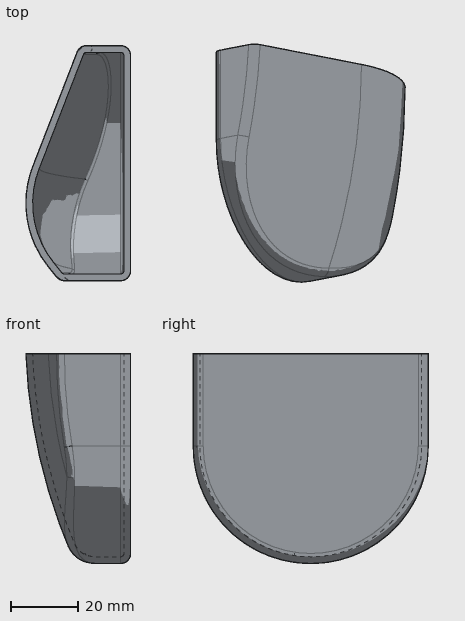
import cadquery as cq
import math

width = 70.0
height = 62.45
wall = 2.0
edge_radius = 3.0
depth = 31.2
bulge_radius = 30.1
bulge_end_y = -30.8
bulge_y = -11.9
flank_angle = math.radians(21.2)
sweep_drop = 18.2
sweep_mid_drop = 4.2
sweep_lead = 0.11
lean_angle = 2.9
margin = 7.0

base_radius = width / 2
rim_z = height - base_radius
blank_top_z = rim_z + margin


def make_block():
    """Full-depth U-shaped block with a round base."""
    return (
        cq.Workplane("YZ")
        .moveTo(-base_radius, blank_top_z)
        .lineTo(-base_radius, 0)
        .threePointArc((0, -base_radius), (base_radius, 0))
        .lineTo(base_radius, blank_top_z)
        .close()
        .extrude(-depth - margin)
    )


def make_front_tool():
    """Sweep the rim outline down a curved path without turning it."""
    centre_x = bulge_radius - depth

    def on_bulge(angle):
        return (
            centre_x - bulge_radius * math.cos(angle),
            bulge_y + bulge_radius * math.sin(angle),
        )

    tangent_point = on_bulge(flank_angle)
    bulge_end_angle = math.asin((bulge_end_y - bulge_y) / bulge_radius)
    flank_end_y = base_radius + 2 * margin
    flank_end_x = tangent_point[0] + (flank_end_y - tangent_point[1]) * math.tan(flank_angle)
    bulge_end = on_bulge(bulge_end_angle)
    toe_y = -base_radius - margin
    toe_x = bulge_end[0] + (toe_y - bulge_end[1]) * math.tan(bulge_end_angle)
    path = (
        cq.Workplane("XZ")
        .moveTo(-sweep_lead, blank_top_z)
        .threePointArc((sweep_mid_drop, rim_z - height / 2), (sweep_drop, -base_radius - margin))
    ).val()
    path = path.rotate(cq.Vector(0, 0, rim_z), cq.Vector(0.7, 0, rim_z), -lean_angle)
    return (
        cq.Workplane("XY", origin=path.startPoint().toTuple())
        .moveTo(flank_end_x, flank_end_y)
        .lineTo(*tangent_point)
        .threePointArc(on_bulge((flank_angle + bulge_end_angle) / 2), bulge_end)
        .lineTo(toe_x, toe_y)
        .lineTo(2 * margin, toe_y)
        .lineTo(2 * margin, flank_end_y)
        .close()
        .sweep(cq.Workplane(path), normal=cq.Vector(0, 0, 1))
    )


body = make_block().intersect(make_front_tool())
body = body.faces(">Y").edges("<X").fillet(edge_radius)
body = body.faces(">X").edges("not >Z").fillet(edge_radius)
waste = cq.Workplane("XY", origin=(0, 0, rim_z)).rect(2 * width, 2 * width).extrude(2 * margin)
body = body.cut(waste)
result = body.faces(">Z").shell(-wall)